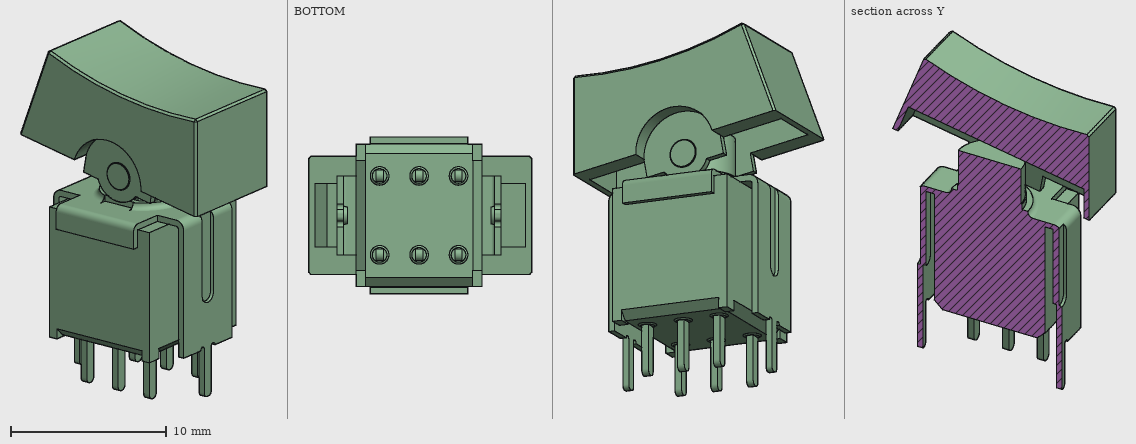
import cadquery as cq
import math


body_x = 8.12
body_y = 9.17
body_top = 8.9
foot_height = 0.7
foot_gap_x = 6.9
foot_gap_y = 7.1
seal_bottom = 0.12
seal_rim_run = 0.6

pitch = 2.54
pin_x = 0.48
pin_y = 0.74
pin_tip_radius = 0.36
pin_bottom = -3.3
pin_embed = 1.0
collar_radius = 0.6
collar_tip_radius = 0.47
collar_drop = 0.08

sheet = 0.42
bracket_x = 10.58
bracket_y = 10.11
bracket_top = body_top + sheet
leg_width = 5.1
leg_bend_radius = 0.62
flap_width = 6.3
flap_bottom = 7.7
flap_bend_radius = 0.45
tab_tip_radius = 0.28
relief_width = 0.38
relief_height = 0.2
relief_radius = 0.18
bead_width = 1.2
bead_depth = 0.2
bead_rise = 0.25
bead_bottom = 3.12
bead_taper = 15

flange_radius = 2.8
flange_flare = 0.36
flange_top = 9.75
neck_radius = 2.38
neck_top = 10.18
column_radius = 2.3
column_top = 12.87
groove_width = 2.34
groove_floor_spacing = 4.92

pivot_z = 11.3
tilt = 10.2
rocker_y = 7.63
rocker_base = 0.43
rocker_height = 6.535
rocker_half_base = 7.3
rocker_draft = tilt
rocker_sag = 0.7
rocker_edge = 0.15
rocker_wall = 0.4
cavity_height = 2.2
arch_half_width = 2.75
arch_top = 2.82
cheek_bottom = -0.83
cheek_outer = 2.56
cheek_inner = 2.05
hub_radius = 3.5 / 2
pivot_pin_radius = 0.93
pivot_pin_end = 2.62
pivot_pin_edge = 0.05


def block(x0, x1, y0, y1, z0, z1):
    """Box between the given limits along X, Y and Z."""
    return cq.Workplane("XY").box(x1 - x0, y1 - y0, z1 - z0, centered=False).translate((x0, y0, z0))


def centred_block(size_x, size_y, z0, z1):
    """Box centred on the Z axis."""
    return block(-size_x / 2, size_x / 2, -size_y / 2, size_y / 2, z0, z1)


def seal_ridge(plane, span, length):
    """Compound filling the notch, with sloping rims at both ends of the span."""
    half = span / 2
    flat_half = half - seal_rim_run
    outline = [
        (-half, foot_height),
        (-flat_half, seal_bottom),
        (flat_half, seal_bottom),
        (half, foot_height),
    ]
    return cq.Workplane(plane).polyline(outline).close().extrude(length / 2, both=True)


def make_housing():
    """Box on four corner feet, sealed underneath."""
    housing = centred_block(body_x, body_y, 0, body_top)
    housing = housing.cut(centred_block(body_x, foot_gap_y, 0, foot_height))
    housing = housing.cut(centred_block(foot_gap_x, body_y, 0, foot_height))
    housing = housing.union(seal_ridge("XZ", body_x, foot_gap_y))
    return housing.union(seal_ridge("YZ", body_y, foot_gap_x))


def make_terminal():
    """Round-tipped flat pin with a small collar of compound at its root."""
    pin = centred_block(pin_x, pin_y, pin_bottom, pin_embed)
    pin = pin.edges("|X and <Z").fillet(pin_tip_radius)
    collar = (
        cq.Workplane("XY", origin=(0, 0, seal_bottom)).circle(collar_radius)
        .workplane(offset=-collar_drop).circle(collar_tip_radius).loft()
    )
    return pin.union(collar)


def make_bead(outer_x, depth):
    """Pressed bead of the left leg, sunk from the plane X = -outer_x."""
    height = bracket_top + bead_width
    plane = cq.Plane(origin=(-outer_x, 0, 0), xDir=(0, 1, 0), normal=(1, 0, 0))
    return (
        cq.Workplane(plane)
        .center(0, (bead_bottom + height) / 2)
        .slot2D(height - bead_bottom, bead_width, 90)
        .extrude(depth, taper=bead_taper)
    )


def bent_strip(length, width, bottom, bend_radius):
    """Strip bent down at both ends of its length, which runs along X."""
    outer = centred_block(length, width, bottom, bracket_top).edges("|Y and >Z").fillet(bend_radius)
    inner = centred_block(length - 2 * sheet, width, bottom, body_top)
    inner = inner.edges("|Y and >Z").fillet(bend_radius - sheet)
    return outer.cut(inner)


def make_leg_details(bracket):
    """Add the solder tab, its relief notches and the pressed bead to the leg at -X."""
    outer = bracket_x / 2
    inner = outer - sheet
    for side in (-1, 1):
        relief = block(-outer, -inner, 0, relief_width, -relief_height, relief_height)
        relief = relief.edges("|X and >Z").fillet(relief_radius)
        offset = side * (pin_y + relief_width) / 2
        bracket = bracket.cut(relief.translate((0, offset - relief_width / 2, 0)))
    tab = block(-outer, -inner, -pin_y / 2, pin_y / 2, pin_bottom, relief_height)
    tab = tab.edges("|X and <Z").fillet(tab_tip_radius)
    raised = make_bead(inner, bead_rise).intersect(centred_block(bracket_x, bracket_y, 0, body_top))
    return bracket.union(tab).union(raised).cut(make_bead(outer, bead_depth))


def make_bracket():
    """Sheet saddle with two long legs along X and two short flaps along Y."""
    saddle = bent_strip(bracket_x, leg_width, 0, leg_bend_radius)
    flaps = bent_strip(bracket_y, flap_width, flap_bottom, flap_bend_radius)
    bracket = saddle.union(flaps.rotate((0, 0, 0), (0, 0, 1), 90))
    for _ in ("left leg", "right leg"):
        bracket = make_leg_details(bracket).rotate((0, 0, 0), (0, 0, 1), 180)
    return bracket


def make_bushing():
    """Flared flange with a groove under each hub, and a column with two flats."""
    flare_radius = flange_radius + flange_flare
    flare_height = flange_top - bracket_top
    arc_share = 1 - math.sqrt(0.5)
    bushing = (
        cq.Workplane("XZ")
        .moveTo(0, body_top)
        .lineTo(flare_radius, body_top)
        .lineTo(flare_radius, bracket_top)
        .threePointArc(
            (flange_radius + arc_share * flange_flare, bracket_top + arc_share * flare_height),
            (flange_radius, flange_top),
        )
        .lineTo(neck_radius, flange_top)
        .lineTo(neck_radius, neck_top)
        .lineTo(column_radius, neck_top)
        .lineTo(column_radius, column_top)
        .lineTo(0, column_top)
        .close()
        .revolve(360, (0, 0, 0), (0, 1, 0))
    )
    side = 2 * flare_radius
    grooves = centred_block(groove_width, side, bracket_top, flange_top)
    grooves = grooves.cut(centred_block(groove_width, groove_floor_spacing, bracket_top, flange_top))
    flats = centred_block(side, side, flange_top, column_top)
    flats = flats.cut(centred_block(side, 2 * cheek_inner, flange_top, column_top))
    return bushing.cut(grooves).cut(flats)


def arch():
    """Arch outline on the XZ plane with straight sides down to the cheek bottom."""
    return (
        cq.Workplane("XZ")
        .moveTo(-arch_half_width, cheek_bottom)
        .lineTo(-arch_half_width, rocker_base)
        .threePointArc((0, arch_top), (arch_half_width, rocker_base))
        .lineTo(arch_half_width, cheek_bottom)
        .close()
    )


def wedge(half_base, height):
    """Trapezoid on the XZ plane that narrows upwards from the rocker base."""
    top = rocker_base + height
    half_top = half_base - height * math.tan(math.radians(rocker_draft))
    outline = [(-half_base, rocker_base), (-half_top, top), (half_top, top), (half_base, rocker_base)]
    return cq.Workplane("XZ").polyline(outline).close()


def make_rocker():
    """Hollow dished rocker with recessed hub cheeks, tilted about its pivot."""
    top = rocker_base + rocker_height
    half_top = rocker_half_base - rocker_height * math.tan(math.radians(rocker_draft))
    rocker = (
        cq.Workplane("XZ")
        .moveTo(-rocker_half_base, rocker_base)
        .lineTo(-half_top, top)
        .threePointArc((0, top - rocker_sag), (half_top, top))
        .lineTo(rocker_half_base, rocker_base)
        .close()
        .extrude(rocker_y / 2, both=True)
    )
    rocker = rocker.edges("not <Z").chamfer(rocker_edge)

    cavity = wedge(rocker_half_base - rocker_wall, cavity_height).extrude(cheek_inner, both=True)
    rocker = rocker.cut(cavity)

    recess = arch().extrude(rocker_y, both=True)
    recess = recess.cut(centred_block(rocker_y, 2 * cheek_outer, cheek_bottom, top))
    rocker = rocker.cut(recess)

    cheeks = arch().extrude(cheek_outer, both=True)
    hub = cq.Workplane("XZ").circle(hub_radius).extrude(cheek_outer, both=True)
    gap = centred_block(rocker_y, 2 * cheek_inner, -rocker_y, rocker_y)
    cheeks = cheeks.union(hub).cut(gap)

    pin = cq.Workplane("XZ").circle(pivot_pin_radius).extrude(pivot_pin_end, both=True)
    pin = pin.faces("<Y or >Y").chamfer(pivot_pin_edge)
    rocker = rocker.union(cheeks).union(pin)
    return rocker.rotate((0, 0, 0), (0, 1, 0), tilt).translate((0, 0, pivot_z))


def make_terminals():
    """Two rows of three terminals."""
    terminal = make_terminal()
    terminals = cq.Workplane("XY")
    for column in (-pitch, 0, pitch):
        for row in (-pitch, pitch):
            terminals = terminals.add(terminal.translate((column, row, 0)))
    return terminals.combine()


result = (
    make_housing()
    .union(make_bracket())
    .union(make_bushing())
    .union(make_rocker())
    .union(make_terminals())
)